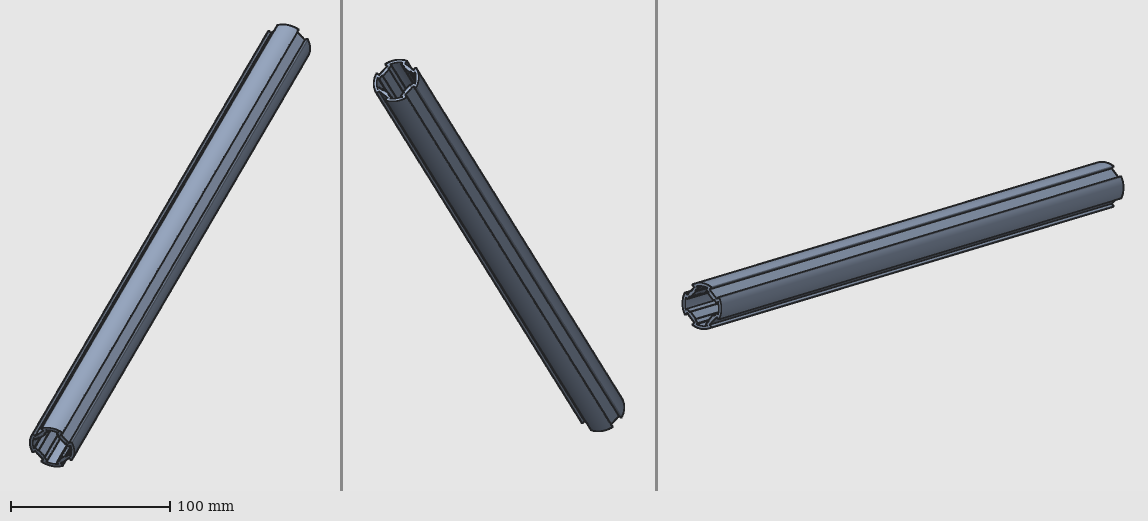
import cadquery as cq
import math

length = 450.0
outer_diameter = 29.5
wall = 2.02

channel_width = 7.5
channel_floor = 12.0
lip_radius = 0.5
pad_width = 6.0
pad_height = 0.68
channel_angles = (45, 135, 225, 315)

outer_radius = outer_diameter / 2
inner_radius = outer_radius - wall


def cylinder(radius):
    return cq.Workplane("XZ").circle(radius).extrude(length / 2, both=True)


def radial_bar(width, floor):
    """Full-length bar reaching from the floor distance to beyond the tube skin."""
    depth = outer_radius
    return (
        cq.Workplane("XZ")
        .center(floor + depth / 2, 0)
        .rect(depth, width)
        .extrude(length / 2, both=True)
    )


def channelled_rod(radius, width, floor):
    """Cylinder along Y with a flat-bottomed channel at each channel angle."""
    rod = cylinder(radius)
    bar = radial_bar(width, floor)
    for angle in channel_angles:
        rod = rod.cut(bar.rotate((0, 0, 0), (0, 1, 0), angle))
    return rod


def round_channel_mouths(rod, rod_radius, rounding):
    """Round the two edges where each channel breaks through the rod surface."""
    mouth_tolerance = 0.05

    def is_mouth(edge):
        center = edge.Center()
        on_surface = abs(math.hypot(center.x, center.z) - rod_radius) < mouth_tolerance
        on_seam = min(abs(center.x), abs(center.z)) < mouth_tolerance
        return on_surface and not on_seam

    mouth_edges = rod.edges("|Y").filter(is_mouth)
    return rod.newObject(mouth_edges.vals()).fillet(rounding)


body = channelled_rod(outer_radius, channel_width, channel_floor)
body = round_channel_mouths(body, outer_radius, lip_radius)

hollow = channelled_rod(inner_radius, channel_width + 2 * wall, channel_floor - wall)
for angle in channel_angles:
    pad_bar = radial_bar(pad_width, channel_floor - wall - pad_height)
    hollow = hollow.cut(pad_bar.rotate((0, 0, 0), (0, 1, 0), angle))

result = body.cut(hollow)